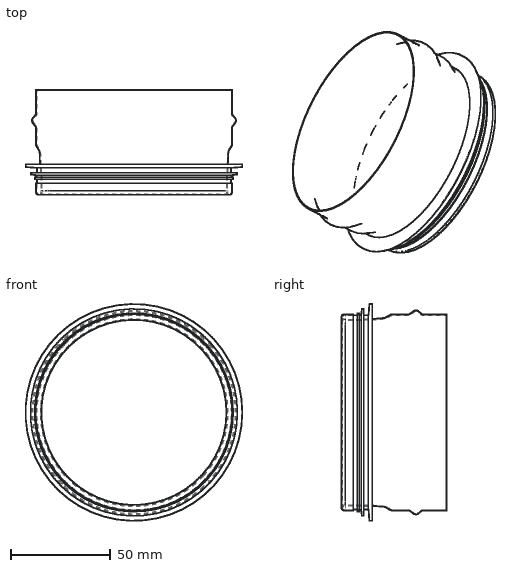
import cadquery as cq
import math


length = 53.0
sheet = 0.5
pipe_radius = 99.05 / 2
neck_radius = 95.45 / 2
seat_radius = 94.25 / 2
seat_end_y = 9.7

hem_radius = (pipe_radius - seat_radius + sheet) / 2
hem_center_radius = pipe_radius - hem_radius
hem_edge_y = 6.0

shoulder_angle = math.radians(30)
shoulder_start_y = 25.6
shoulder_bend = 2.0
neck_bend = 0.6

bead_y = 37.5
bead_height = 2.0
bead_angle = math.radians(40)
bead_crown_bend = 2.1
bead_foot_bend = 1.0

gasket_radius = 98.05 / 2
gasket_foot_y = 2.0
gasket_end_y = 15.6

large_fin_radius = 109.45 / 2
large_fin_tip = 1.6
large_fin_root = 2.0
large_fin_round = 0.25

small_fin_radius = 104.45 / 2
small_fin_back_y = 11.25
small_fin_tip = 1.0
small_fin_root = 1.3
small_fin_round = 0.2
small_fin_foot = 0.6

rib_radius = 50.1
rib_back_y = 8.95
rib_width = 1.05
rib_round = 0.4


def turn(outline):
    """Revolves a closed outline about the Y axis."""
    return outline.close().revolve(360, (0, 0), (0, 1))


def on_arc(center, radius, angle):
    """Point on a circle; the angle runs from the outward radial direction towards +Y."""
    return (center[0] + radius * math.cos(angle), center[1] + radius * math.sin(angle))


def add_bend(outline, center, radius, start, end):
    """Line to the start of an arc, then the arc itself."""
    outline = outline.lineTo(*on_arc(center, radius, start))
    return outline.threePointArc(on_arc(center, radius, (start + end) / 2), on_arc(center, radius, end))


def add_shoulder(outline, inset):
    """Bend out of the neck, cone, and bend into the straight pipe."""
    bends = shoulder_bend + neck_bend
    rise = pipe_radius - neck_radius
    cone_rise = rise - bends * (1 - math.cos(shoulder_angle))
    bend_spacing = bends * math.sin(shoulder_angle) + cone_rise / math.tan(shoulder_angle)
    neck_center = (neck_radius + neck_bend, shoulder_start_y - bend_spacing)
    pipe_center = (pipe_radius - shoulder_bend, shoulder_start_y)
    outline = add_bend(outline, neck_center, neck_bend + inset, math.pi, math.pi - shoulder_angle)
    return add_bend(outline, pipe_center, shoulder_bend - inset, -shoulder_angle, 0)


def add_bead(outline, inset):
    """Foot bend, flank, crown, flank and foot bend of the stiffening bead."""
    bends = bead_crown_bend + bead_foot_bend
    flank_rise = bead_height - bends * (1 - math.cos(bead_angle))
    foot_offset = bends * math.sin(bead_angle) + flank_rise / math.tan(bead_angle)
    foot_center_radius = pipe_radius + bead_foot_bend
    near_foot = (foot_center_radius, bead_y - foot_offset)
    far_foot = (foot_center_radius, bead_y + foot_offset)
    crown = (pipe_radius + bead_height - bead_crown_bend, bead_y)
    foot_radius = bead_foot_bend + inset
    outline = add_bend(outline, near_foot, foot_radius, math.pi, math.pi - bead_angle)
    outline = add_bend(outline, crown, bead_crown_bend - inset, -bead_angle, bead_angle)
    return add_bend(outline, far_foot, foot_radius, math.pi + bead_angle, math.pi)


def solid_to_skin(inset):
    """Solid filled out to the sleeve skin that lies `inset` inside the outer one, hem left out."""
    outline = (
        cq.Workplane("XY")
        .moveTo(0, hem_radius)
        .lineTo(seat_radius - inset, hem_radius)
        .lineTo(seat_radius - inset, seat_end_y)
    )
    outline = add_shoulder(outline, inset)
    outline = add_bead(outline, inset)
    return turn(outline.lineTo(pipe_radius - inset, length).lineTo(0, length))


def make_hem():
    """Sheet edge rolled outwards around the end and folded back over the gasket foot."""
    return turn(
        cq.Workplane("XY")
        .moveTo(seat_radius - sheet, hem_radius)
        .threePointArc((hem_center_radius, 0), (pipe_radius, hem_radius))
        .lineTo(pipe_radius, hem_edge_y)
        .lineTo(pipe_radius - sheet, hem_edge_y)
        .lineTo(pipe_radius - sheet, hem_radius)
        .threePointArc((hem_center_radius, sheet), (seat_radius, hem_radius))
    )


def make_sleeve():
    wall = solid_to_skin(0).cut(solid_to_skin(sheet))
    return wall.union(make_hem())


def add_fin(outline, radius, back_y, tip, root, tip_round, foot=0):
    """Fin with a tapered front, a flat back and a rounded tip; runs from the front root to the back."""
    front_y = back_y - tip
    return (
        outline.lineTo(gasket_radius + foot, back_y - root)
        .lineTo(radius - tip_round, front_y)
        .radiusArc((radius, front_y + tip_round), -tip_round)
        .lineTo(radius, back_y - tip_round)
        .radiusArc((radius - tip_round, back_y), -tip_round)
        .lineTo(gasket_radius, back_y)
    )


def make_gasket():
    rib_front_y = rib_back_y - rib_width
    outline = (
        cq.Workplane("XY")
        .moveTo(seat_radius, gasket_foot_y)
        .lineTo(gasket_radius, gasket_foot_y)
        .lineTo(gasket_radius, rib_front_y)
        .lineTo(rib_radius - rib_round, rib_front_y)
        .radiusArc((rib_radius, rib_front_y + rib_round), -rib_round)
        .lineTo(rib_radius, rib_back_y)
        .lineTo(gasket_radius, rib_back_y)
    )
    outline = add_fin(
        outline, small_fin_radius, small_fin_back_y, small_fin_tip, small_fin_root, small_fin_round,
        small_fin_foot,
    )
    outline = add_fin(
        outline, large_fin_radius, gasket_end_y, large_fin_tip, large_fin_root, large_fin_round
    )
    ring = turn(outline.lineTo(0, gasket_end_y).lineTo(0, gasket_foot_y))
    return ring.cut(solid_to_skin(0))


sleeve = make_sleeve()
gasket = make_gasket()

result = cq.Compound.makeCompound([sleeve.val(), gasket.val()])